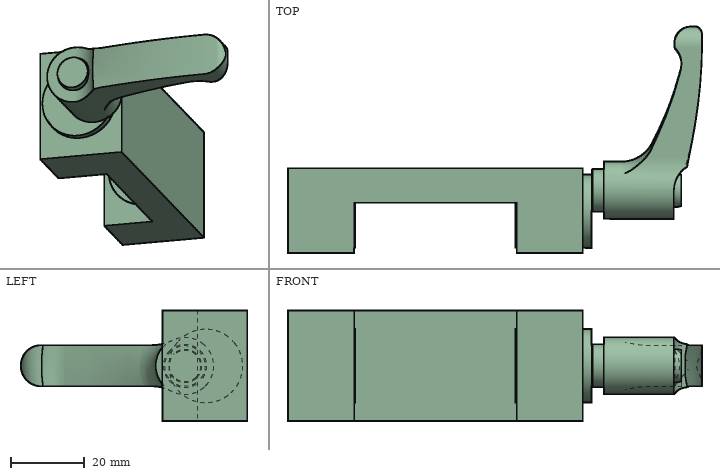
import cadquery as cq
import math

overall_length = 112.4

frame_length = 80.0
frame_depth = 23.0
frame_height = 30.0
arm_width = 18.0
back_thickness = 9.4
gap_width = frame_length - 2 * arm_width

disc_radius = 10.0
disc_y = 11.4
inner_pad_thickness = 0.3
outer_disc_thickness = 2.4

lever_y = 17.0
neck_start = frame_length + outer_disc_thickness
neck_radius = 5.8
neck_chamfer = 0.3
hub_start = 85.7
hub_end = 104.7
hub_radius = 7.8
cap_radius = 4.5
cap_end = 106.8
cap_taper_length = 1.0
cap_taper_depth = 0.2

grip_half_width = 5.6
grip_tip_y = 61.5
grip_tip_center = grip_tip_y - grip_half_width - lever_y
blend_radius = 11.2
collar_radius = 7.9
collar_end = 90.6
grip_foot_x = 107.8
end_scoop_radius = 7.5


def disc(x_start, thickness):
    """Round clamping disc with its axis along X."""
    return cq.Workplane("YZ", origin=(x_start, disc_y, 0)).circle(disc_radius).extrude(thickness)


def lever_cylinder(x_start, x_end, radius):
    """Cylinder on the lever axis."""
    return cq.Workplane("YZ", origin=(x_start, lever_y, 0)).circle(radius).extrude(x_end - x_start)


def make_frame():
    gap_depth = frame_depth - back_thickness
    frame = cq.Workplane("XY").box(frame_length, frame_depth, frame_height, centered=(False, False, True))
    gap = (
        cq.Workplane("XY")
        .box(gap_width, gap_depth, frame_height, centered=(False, False, True))
        .translate((arm_width, 0, 0))
    )
    return frame.cut(gap)


def make_side_prism():
    """Hub circle blended into the straight grip with a round tip, extruded along X."""
    blend_z = grip_half_width + blend_radius
    center_distance = hub_radius + blend_radius
    blend_y = math.sqrt(center_distance**2 - blend_z**2)
    tangent_y = blend_y * hub_radius / center_distance
    tangent_z = blend_z * hub_radius / center_distance
    half_angle = math.atan2(blend_y, blend_z) / 2
    mid_y = blend_y - blend_radius * math.sin(half_angle)
    mid_z = blend_z - blend_radius * math.cos(half_angle)
    return (
        cq.Workplane("YZ", origin=(hub_start, lever_y, 0))
        .moveTo(tangent_y, tangent_z)
        .threePointArc((-hub_radius, 0), (tangent_y, -tangent_z))
        .threePointArc((mid_y, -mid_z), (blend_y, -grip_half_width))
        .lineTo(grip_tip_center, -grip_half_width)
        .threePointArc((grip_tip_y - lever_y, 0), (grip_tip_center, grip_half_width))
        .lineTo(blend_y, grip_half_width)
        .threePointArc((mid_y, mid_z), (tangent_y, tangent_z))
        .close()
        .extrude(overall_length - hub_start)
    )


def make_grip_sweep():
    """Curved grip section, points as (x, distance from lever axis), turned about the lever axis."""
    return (
        cq.Workplane("XY", origin=(0, lever_y, 0))
        .moveTo(hub_start, 0)
        .lineTo(hub_start, collar_radius)
        .lineTo(collar_end, collar_radius)
        .threePointArc((95.2, 9.1), (98.5, 12.2))
        .threePointArc((103.4, 23.0), (106.5, 32.9))
        .threePointArc((106.6, 35.7), (105.0, 38.9))
        .threePointArc((105.1, 41.5), (109.5, 44.5))
        .threePointArc((111.5, 44.2), (overall_length, 42.5))
        .threePointArc((111.1, 22.8), (grip_foot_x, 6.5))
        .lineTo(grip_foot_x, 0)
        .close()
        .revolve(360, (0, 0, 0), (1, 0, 0))
    )


def make_end_relief():
    """Space beyond the hub end face, running out in a round scoop under the grip."""
    below = (
        cq.Workplane("XY", origin=(hub_end, lever_y, 0))
        .box(2 * end_scoop_radius, 2 * hub_radius, 4 * hub_radius, centered=(False, True, True))
        .translate((0, -hub_radius, 0))
    )
    scoop = (
        cq.Workplane("XY", origin=(hub_end + end_scoop_radius, lever_y, 0))
        .circle(end_scoop_radius)
        .extrude(2 * hub_radius, both=True)
    )
    return below.union(scoop)


def make_lever():
    neck = lever_cylinder(neck_start, hub_start, neck_radius).faces("<X").chamfer(neck_chamfer)
    cap = lever_cylinder(hub_end, cap_end, cap_radius).faces(">X").chamfer(cap_taper_length, cap_taper_depth)
    grip = make_grip_sweep().intersect(make_side_prism()).cut(make_end_relief())
    return grip.union(neck).union(cap)


result = (
    make_frame()
    .union(disc(arm_width, inner_pad_thickness))
    .union(disc(arm_width + gap_width - inner_pad_thickness, inner_pad_thickness))
    .union(disc(frame_length, outer_disc_thickness))
    .union(make_lever())
)